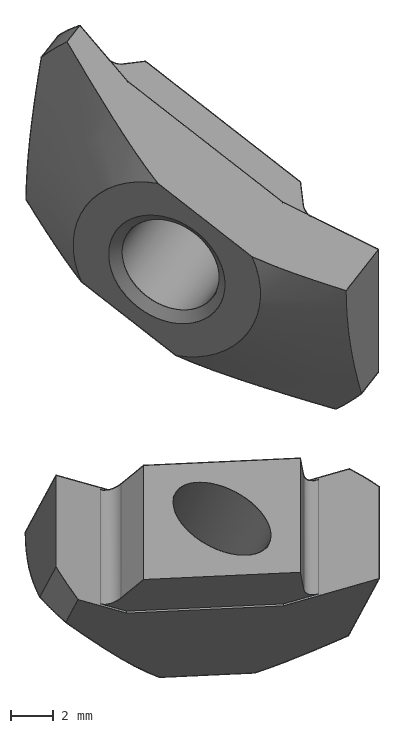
import cadquery as cq
import math


END_SPAN = 16.51
TURN_RADIUS = 11.0
BODY_WIDTH = 7.87
SIDE_TILT = 30.0
CREST_Y = 5.88
SEAT_Y = 4.36

FRONT_RADIUS = 4.83
CONE_ANGLE = 32.5

NECK_WIDTH = 7.6
NECK_TOP_Y = 6.4
NECK_TOP_SPAN = 8.0
NECK_FLANK_ANGLE = 60.0
NECK_FILLET = 0.75

HOLE_DIAMETER = 5.0
CHAMFER_DIAMETER = 6.0
CHAMFER_DEPTH = 0.43

HALF_SPAN = END_SPAN / 2
HALF_TOP = NECK_TOP_SPAN / 2
LENGTH = 2 * TURN_RADIUS
WING_SLOPE = (CREST_Y - SEAT_Y) / (HALF_SPAN - HALF_TOP)
FLANK_SLOPE = math.tan(math.radians(NECK_FLANK_ANGLE))
CONE_EDGE_Y = (TURN_RADIUS - FRONT_RADIUS) * math.tan(math.radians(CONE_ANGLE))


def tilted_slab(width):
    """Slab of the given width between two planes tilted about the hole axis."""
    slab = cq.Workplane("XY").box(2 * LENGTH, LENGTH, width)
    return slab.rotate((0, 0, 0), (0, 1, 0), SIDE_TILT)


def extrude_along_z(outline):
    """Prism along Z, centred on z = 0, over a closed outline in the XY plane."""
    return outline.extrude(LENGTH / 2, both=True)


def make_turned_blank():
    """Cylinder around Y with a cone running down to the front face."""
    half_section = (
        cq.Workplane("XY")
        .moveTo(0, 0)
        .lineTo(FRONT_RADIUS, 0)
        .lineTo(TURN_RADIUS, CONE_EDGE_Y)
        .lineTo(TURN_RADIUS, NECK_TOP_Y)
        .lineTo(0, NECK_TOP_Y)
        .close()
    )
    return half_section.revolve(360, (0, 0, 0), (0, 1, 0))


def make_body():
    """Blank cut to the flat ends, inclined sides and rising wings."""
    outline = (
        cq.Workplane("XY")
        .moveTo(-HALF_SPAN, 0)
        .lineTo(HALF_SPAN, 0)
        .lineTo(HALF_SPAN, CREST_Y)
        .lineTo(HALF_TOP, SEAT_Y)
        .lineTo(-HALF_TOP, SEAT_Y)
        .lineTo(-HALF_SPAN, CREST_Y)
        .close()
    )
    return make_turned_blank().intersect(extrude_along_z(outline)).intersect(tilted_slab(BODY_WIDTH))


def fillet_points():
    """Start, middle and end of the fillet between the +X flank and wing."""
    corner_run = (NECK_TOP_Y - SEAT_Y) / (FLANK_SLOPE + WING_SLOPE)
    corner = cq.Vector(HALF_TOP + corner_run, SEAT_Y + WING_SLOPE * corner_run)
    along_flank = cq.Vector(-1, FLANK_SLOPE).normalized()
    along_wing = cq.Vector(1, WING_SLOPE).normalized()
    bisector = (along_flank + along_wing).normalized()

    half_angle = along_flank.getAngle(along_wing) / 2
    tangent_length = NECK_FILLET / math.tan(half_angle)
    middle_distance = NECK_FILLET / math.sin(half_angle) - NECK_FILLET
    start = corner + along_flank * tangent_length
    middle = corner + bisector * middle_distance
    end = corner + along_wing * tangent_length
    return start, middle, end


def make_neck():
    """Tapered neck, filleted into the wings and narrower than the body."""
    start, middle, end = fillet_points()
    outline = (
        cq.Workplane("XY")
        .moveTo(-HALF_TOP, NECK_TOP_Y)
        .lineTo(HALF_TOP, NECK_TOP_Y)
        .lineTo(start.x, start.y)
        .threePointArc((middle.x, middle.y), (end.x, end.y))
        .lineTo(HALF_TOP, SEAT_Y)
        .lineTo(-HALF_TOP, SEAT_Y)
        .lineTo(-end.x, end.y)
        .threePointArc((-middle.x, middle.y), (-start.x, start.y))
        .close()
    )
    return extrude_along_z(outline).intersect(tilted_slab(NECK_WIDTH))


def make_hole():
    """Through hole with a chamfer at the front face."""
    half_section = (
        cq.Workplane("XY")
        .moveTo(0, 0)
        .lineTo(CHAMFER_DIAMETER / 2, 0)
        .lineTo(HOLE_DIAMETER / 2, CHAMFER_DEPTH)
        .lineTo(HOLE_DIAMETER / 2, NECK_TOP_Y)
        .lineTo(0, NECK_TOP_Y)
        .close()
    )
    return half_section.revolve(360, (0, 0, 0), (0, 1, 0))


result = make_body().union(make_neck()).cut(make_hole())